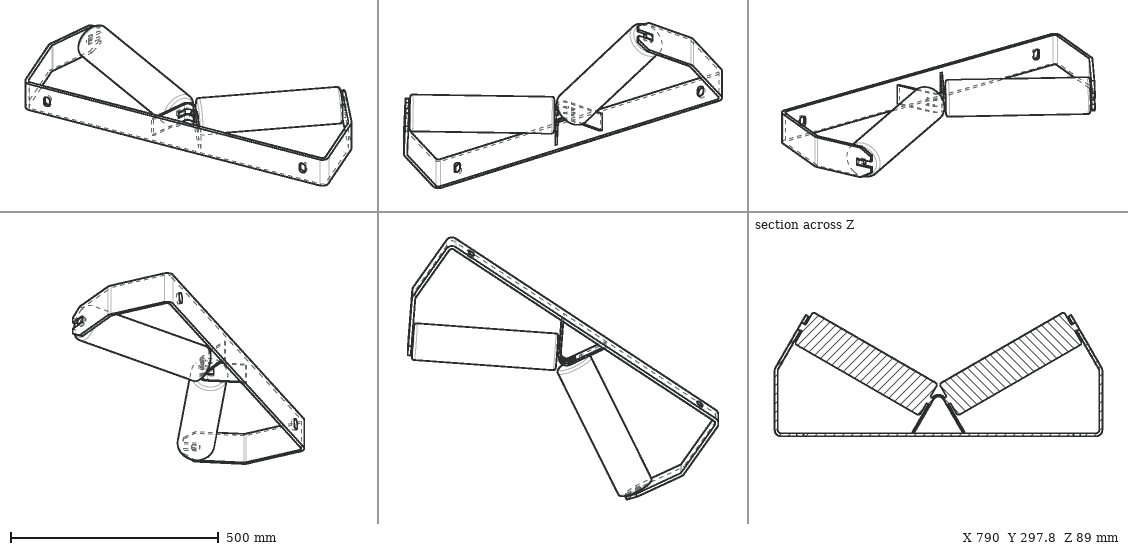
import cadquery as cq
import math


FRAME_WIDTH = 790.0
STRAP_HEIGHT = 80.0
STRAP_THICKNESS = 8.0
STRAP_BEND_RADIUS = 16.0
ARM_BEND_Y = 162.0
ARM_LENGTH = 151.0
ARM_CHAMFER_LENGTH = 28.5
ARM_CHAMFER_HEIGHT = 18.0

MOUNT_X = 333.0
MOUNT_SLOT_WIDTH = 16.0
MOUNT_SLOT_LENGTH = 28.0

BRACKET_HEIGHT = 50.0
BRACKET_THICKNESS = 5.0
BRACKET_APEX_RADIUS = 19.0

TILT = math.radians(30)
DRUM_DIAMETER = 89.0
DRUM_LENGTH = 347.5
DRUM_EDGE_RADIUS = 6.0
SHAFT_DEPTH = 19.0
SHAFT_WIDTH = 13.5
SHAFT_SLOT_WIDTH = 17.0
ARM_GAP = 3.0
BRACKET_GAP = 5.0
ROLLER_RISE = 64.0

COS = math.cos(TILT)
SIN = math.sin(TILT)
SIDES = (-1, 1)

ARM_FACE = FRAME_WIDTH / 2 * COS + ARM_BEND_Y * SIN
DRUM_OUTER_END = ARM_FACE - STRAP_THICKNESS - ARM_GAP
DRUM_INNER_END = DRUM_OUTER_END - DRUM_LENGTH
LEG_FACE = DRUM_INNER_END - BRACKET_GAP
SHAFT_INNER_END = LEG_FACE - BRACKET_THICKNESS


def axis_plane(side, distance):
    """Plane square to a roller axis: local X runs up the arm, local Z points outward."""
    x = distance * COS - ROLLER_RISE * SIN
    y = distance * SIN + ROLLER_RISE * COS
    return cq.Plane(origin=(side * x, y, 0), xDir=(-side * SIN, COS, 0), normal=(side * COS, SIN, 0))


def mirrored_outline(right_half):
    """Closed outline from the points of its right half and their mirror images."""
    left_half = [(-x, y) for x, y in reversed(right_half)]
    return right_half + left_half


def prism(outline, height):
    """Outline extruded symmetrically about Z = 0."""
    return cq.Workplane("XY").polyline(outline).close().extrude(height / 2, both=True)


def round_corner(body, corner, radius):
    """Fillet the Z-parallel edge standing at a corner of the outline."""
    return body.edges(cq.NearestToPointSelector((corner[0], corner[1], 0))).fillet(radius)


def shaft_slot(side, face, depth, length):
    """Cutter for the open slot that holds a shaft end, its closed end touching the shaft."""
    bottom = -SHAFT_DEPTH / 2
    return (
        cq.Workplane(axis_plane(side, face))
        .center(bottom + length / 2, 0)
        .rect(length, SHAFT_SLOT_WIDTH)
        .extrude(-depth)
    )


def arm_corner(side, z_side, tip):
    """Cutter for one sloping corner of an arm tip; tip is measured up from the roller axis."""
    z_edge = z_side * STRAP_HEIGHT / 2
    triangle = [
        (tip - ARM_CHAMFER_LENGTH, z_edge),
        (tip, z_edge),
        (tip, z_edge - z_side * ARM_CHAMFER_HEIGHT),
    ]
    points = [(up, side * z) for up, z in triangle]
    return cq.Workplane(axis_plane(side, ARM_FACE)).polyline(points).close().extrude(-STRAP_THICKNESS)


def make_frame():
    half_width = FRAME_WIDTH / 2
    inner_half_width = half_width - STRAP_THICKNESS
    back_outer = (half_width, 0)
    back_inner = (inner_half_width, STRAP_THICKNESS)
    arm_outer = (half_width, ARM_BEND_Y)
    arm_inner = (inner_half_width, ARM_BEND_Y - STRAP_THICKNESS * math.tan(TILT / 2))
    tip_outer = (half_width - ARM_LENGTH * SIN, ARM_BEND_Y + ARM_LENGTH * COS)
    tip_inner = (tip_outer[0] - STRAP_THICKNESS * COS, tip_outer[1] - STRAP_THICKNESS * SIN)
    outline = mirrored_outline([back_outer, arm_outer, tip_outer, tip_inner, arm_inner, back_inner])
    frame = prism(outline, STRAP_HEIGHT)

    inner_radius = STRAP_BEND_RADIUS - STRAP_THICKNESS
    for side in SIDES:
        for x, y in (back_outer, arm_outer):
            frame = round_corner(frame, (side * x, y), STRAP_BEND_RADIUS)
        for x, y in (back_inner, arm_inner):
            frame = round_corner(frame, (side * x, y), inner_radius)

    tip = tip_outer[1] * COS - tip_outer[0] * SIN - ROLLER_RISE
    for side in SIDES:
        for z_side in SIDES:
            frame = frame.cut(arm_corner(side, z_side, tip))
        frame = frame.cut(shaft_slot(side, ARM_FACE, STRAP_THICKNESS, tip + SHAFT_DEPTH / 2))

    mounts = (
        cq.Workplane("XZ")
        .pushPoints([(side * MOUNT_X, 0) for side in SIDES])
        .slot2D(MOUNT_SLOT_LENGTH, MOUNT_SLOT_WIDTH, 90)
        .extrude(-STRAP_THICKNESS)
    )
    return frame.cut(mounts)


def make_bracket():
    foot_y = STRAP_THICKNESS
    foot_outer = ((LEG_FACE - foot_y * SIN) / COS, foot_y)
    foot_inner = (foot_outer[0] - BRACKET_THICKNESS / COS, foot_y)
    apex_outer = (0, LEG_FACE / SIN)
    apex_inner = (0, SHAFT_INNER_END / SIN)
    left_foot_inner = (-foot_inner[0], foot_y)
    left_foot_outer = (-foot_outer[0], foot_y)
    outline = [foot_outer, apex_outer, left_foot_outer, left_foot_inner, apex_inner, foot_inner]
    bracket = prism(outline, BRACKET_HEIGHT)
    bracket = round_corner(bracket, apex_outer, BRACKET_APEX_RADIUS)
    bracket = round_corner(bracket, apex_inner, BRACKET_APEX_RADIUS - BRACKET_THICKNESS)

    apex_rise = apex_outer[1] * COS - ROLLER_RISE
    for side in SIDES:
        slot = shaft_slot(side, LEG_FACE, BRACKET_APEX_RADIUS, apex_rise + SHAFT_DEPTH / 2)
        bracket = bracket.cut(slot)
    return bracket


def make_roller(side):
    """Drum with rounded rims on a rectangular shaft that ends flush with arm and bracket leg."""
    drum = (
        cq.Workplane(axis_plane(side, DRUM_INNER_END))
        .circle(DRUM_DIAMETER / 2)
        .extrude(DRUM_LENGTH)
        .edges()
        .fillet(DRUM_EDGE_RADIUS)
    )
    shaft_length = ARM_FACE - SHAFT_INNER_END
    shaft = (
        cq.Workplane(axis_plane(side, SHAFT_INNER_END))
        .rect(SHAFT_DEPTH, SHAFT_WIDTH)
        .extrude(shaft_length)
    )
    return drum.union(shaft)


frame = make_frame()
bracket = make_bracket()
rollers = [make_roller(side) for side in SIDES]

result = cq.Compound.makeCompound([frame.val(), bracket.val(), *[roller.val() for roller in rollers]])